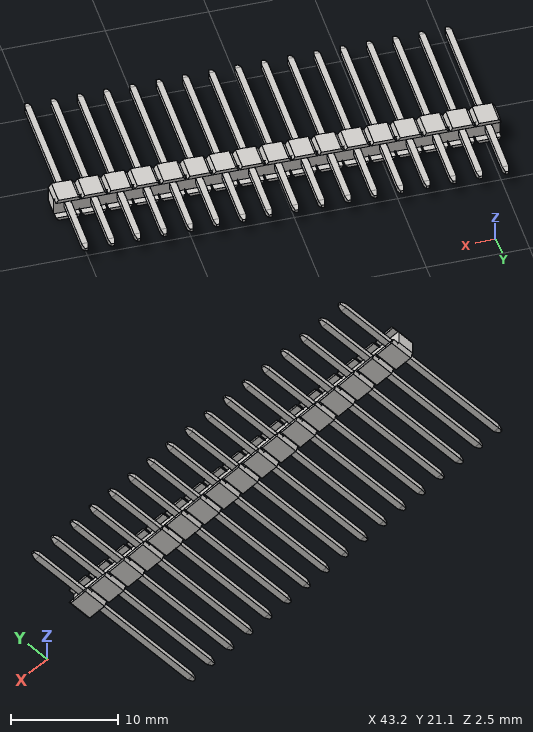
import cadquery as cq

row_length = 43.2
pin_count = 17
pitch = row_length / pin_count

housing_height = 2.5
housing_depth = 2.5
bevel_width = 0.3
bevel_height = 0.45
channel_depth = 0.65
flange_thickness = 0.35

pin_width = 0.65
pin_length = 21.1
front_reach = 12.6
taper_length = 0.55
tip_width = 0.325
pin_offset = -0.095


def make_cell(center_x):
    """One housing cell: a block with its four long edges bevelled."""
    half_width = pitch / 2
    half_height = housing_height / 2
    flat_x = half_width - bevel_width
    flat_z = half_height - bevel_height
    outline = [
        (-half_width, -flat_z),
        (-flat_x, -half_height),
        (flat_x, -half_height),
        (half_width, -flat_z),
        (half_width, flat_z),
        (flat_x, half_height),
        (-flat_x, half_height),
        (-half_width, flat_z),
    ]
    cell = cq.Workplane("XZ").polyline(outline).close().extrude(-housing_depth)
    return cell.translate((center_x, 0, 0))


def make_back_channel():
    """Channel along the whole row, open at the back of the housing."""
    channel_height = housing_height - 2 * flange_thickness
    channel = cq.Workplane("XY").box(row_length, channel_depth, channel_height)
    return channel.translate((0, housing_depth - channel_depth / 2, 0))


def make_taper(base_y, tip_y):
    """Pin end narrowing from the full pin width to the tip width."""
    return (
        cq.Workplane("XZ", origin=(0, base_y, 0))
        .rect(pin_width, pin_width)
        .workplane(offset=base_y - tip_y)
        .rect(tip_width, tip_width)
        .loft(ruled=True)
    )


def make_pin(center_x):
    """Square pin through the housing, tapered at both ends."""
    front_tip = -front_reach
    back_tip = front_tip + pin_length
    front_base = front_tip + taper_length
    back_base = back_tip - taper_length
    shank_length = back_base - front_base
    shank = cq.Workplane("XY").box(pin_width, shank_length, pin_width)
    shank = shank.translate((0, (front_base + back_base) / 2, 0))
    pin = shank.union(make_taper(front_base, front_tip)).union(make_taper(back_base, back_tip))
    return pin.translate((center_x, 0, 0))


cell_centers = [(index - (pin_count - 1) / 2) * pitch for index in range(pin_count)]

housing = make_cell(cell_centers[0])
for center_x in cell_centers[1:]:
    housing = housing.union(make_cell(center_x))
housing = housing.cut(make_back_channel())

result = housing
for center_x in cell_centers:
    result = result.union(make_pin(center_x + pin_offset))